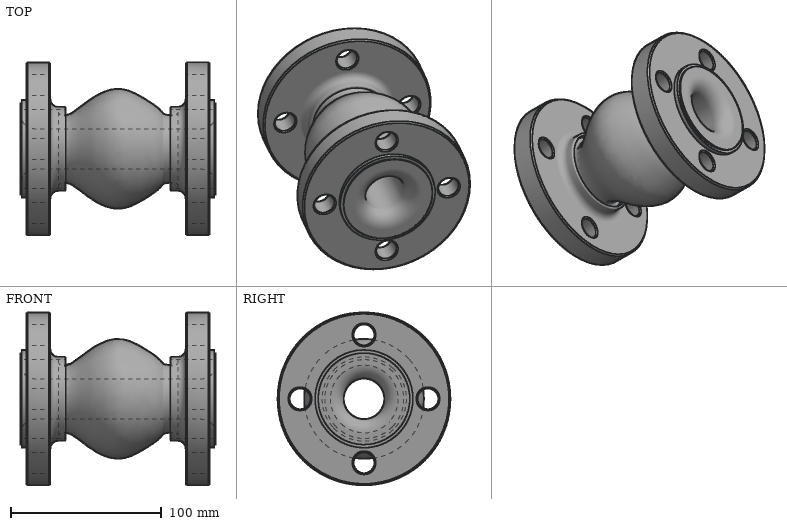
import cadquery as cq
import math


overall_length = 130.0
half_length = overall_length / 2
lip_thickness = 1.0
raised_face_height = 2.9
disk_thickness = 16.2
hub_length = 10.0

raised_face_x = half_length - lip_thickness
disk_front_x = raised_face_x - raised_face_height
disk_back_x = disk_front_x - disk_thickness
hub_end_x = disk_back_x - hub_length

disk_radius = 115.0 / 2
raised_face_radius = 65.0 / 2
hub_radius = 56.0 / 2
edge_chamfer = 1.0
hub_fillet_radius = 5.0
hub_rim_fillet_radius = 1.0
flange_bore_radius = 26.3

bolt_hole_count = 4
bolt_hole_diameter = 13.8
bolt_circle_radius = 42.5
bolt_hole_chamfer = 0.9

neck_radius = 45.0 / 2
lip_radius = 60.8 / 2
bulge_radius = 79.8 / 2
flank_x = 18.2
flank_radius = 33.0
flank_foot_x = 28.6
flank_foot_radius = 25.2
bulge_end_depth = 1.0
bulge_end_x = hub_end_x + bulge_end_depth
shoulder_depth = 5.0
shoulder_x = hub_end_x + shoulder_depth
shoulder_fillet_radius = 2.3
bore_radius = 26.8 / 2
mouth_radius = 46.8 / 2
mouth_arc_radius = mouth_radius - bore_radius


def arc_point(center, radius, angle):
    """Point on a circle, with the angle in radians from the X axis."""
    return (center[0] + radius * math.cos(angle), center[1] + radius * math.sin(angle))


def mirrored(point):
    """Same point on the other side of the YZ plane."""
    return (-point[0], point[1])


def revolve_about_x(profile):
    """Full revolution of a closed XY profile about the pipe axis."""
    return profile.close().revolve(360, (0, 0, 0), (1, 0, 0))


def make_bolt_hole_cutter():
    """Cylinder along X through the disk, flared by a chamfer at both disk faces."""
    hole_radius = bolt_hole_diameter / 2
    flare_radius = hole_radius + bolt_hole_chamfer
    profile = (
        cq.Workplane("XY")
        .moveTo(disk_back_x, 0)
        .lineTo(disk_back_x, flare_radius)
        .lineTo(disk_back_x + bolt_hole_chamfer, hole_radius)
        .lineTo(disk_front_x - bolt_hole_chamfer, hole_radius)
        .lineTo(disk_front_x, flare_radius)
        .lineTo(disk_front_x, 0)
    )
    return revolve_about_x(profile)


def make_flange():
    """Flange at the +X end: raised face, drilled disk and filleted hub around the rubber sleeve."""
    fillet_center = (disk_back_x - hub_fillet_radius, hub_radius + hub_fillet_radius)
    rim_center = (hub_end_x + hub_rim_fillet_radius, hub_radius - hub_rim_fillet_radius)
    profile = (
        cq.Workplane("XY")
        .moveTo(raised_face_x, flange_bore_radius)
        .lineTo(raised_face_x, raised_face_radius)
        .lineTo(disk_front_x, raised_face_radius)
        .lineTo(disk_front_x, disk_radius - edge_chamfer)
        .lineTo(disk_front_x - edge_chamfer, disk_radius)
        .lineTo(disk_back_x + edge_chamfer, disk_radius)
        .lineTo(disk_back_x, disk_radius - edge_chamfer)
        .lineTo(disk_back_x, fillet_center[1])
        .threePointArc(
            arc_point(fillet_center, hub_fillet_radius, math.radians(-45)),
            (fillet_center[0], hub_radius),
        )
        .lineTo(rim_center[0], hub_radius)
        .threePointArc(
            arc_point(rim_center, hub_rim_fillet_radius, math.radians(135)),
            (hub_end_x, rim_center[1]),
        )
        .lineTo(hub_end_x, flange_bore_radius)
    )
    flange = revolve_about_x(profile)

    hole = make_bolt_hole_cutter().translate((0, 0, bolt_circle_radius))
    for index in range(bolt_hole_count):
        angle = index * 360 / bolt_hole_count
        flange = flange.cut(hole.rotate((0, 0, 0), (1, 0, 0), angle))
    return flange


def make_bellows():
    """Rubber tube with a round bulge, sealing lips on both flanges and flared mouths."""
    flank_point = (flank_x, flank_radius)
    flank_foot = (flank_foot_x, flank_foot_radius)
    bulge_points = [
        (-bulge_end_x, neck_radius),
        mirrored(flank_foot),
        mirrored(flank_point),
        (0, bulge_radius),
        flank_point,
        flank_foot,
        (bulge_end_x, neck_radius),
    ]
    fillet_center = (shoulder_x - shoulder_fillet_radius, neck_radius + shoulder_fillet_radius)
    fillet_start = (fillet_center[0], neck_radius)
    fillet_mid = arc_point(fillet_center, shoulder_fillet_radius, math.radians(-45))
    fillet_end = (shoulder_x, fillet_center[1])

    mouth_center = (half_length - mouth_arc_radius, mouth_radius)
    mouth_mid = arc_point(mouth_center, mouth_arc_radius, math.radians(-45))

    profile = (
        cq.Workplane("XY")
        .moveTo(-half_length, mouth_radius)
        .lineTo(-half_length, lip_radius)
        .lineTo(-raised_face_x, lip_radius)
        .lineTo(-raised_face_x, flange_bore_radius)
        .lineTo(-shoulder_x, flange_bore_radius)
        .lineTo(*mirrored(fillet_end))
        .threePointArc(mirrored(fillet_mid), mirrored(fillet_start))
        .lineTo(*bulge_points[0])
        .spline(bulge_points[1:], tangents=[(1, 0), (1, 0)], includeCurrent=True)
        .lineTo(*fillet_start)
        .threePointArc(fillet_mid, fillet_end)
        .lineTo(shoulder_x, flange_bore_radius)
        .lineTo(raised_face_x, flange_bore_radius)
        .lineTo(raised_face_x, lip_radius)
        .lineTo(half_length, lip_radius)
        .lineTo(half_length, mouth_radius)
        .threePointArc(mouth_mid, (mouth_center[0], bore_radius))
        .lineTo(-mouth_center[0], bore_radius)
        .threePointArc(mirrored(mouth_mid), (-half_length, mouth_radius))
    )
    return revolve_about_x(profile)


bellows = make_bellows()
flanges = []
for turn in (0, 180):
    flanges.append(make_flange().rotate((0, 0, 0), (0, 0, 1), turn))

result = cq.Compound.makeCompound([bellows.val(), *[flange.val() for flange in flanges]])